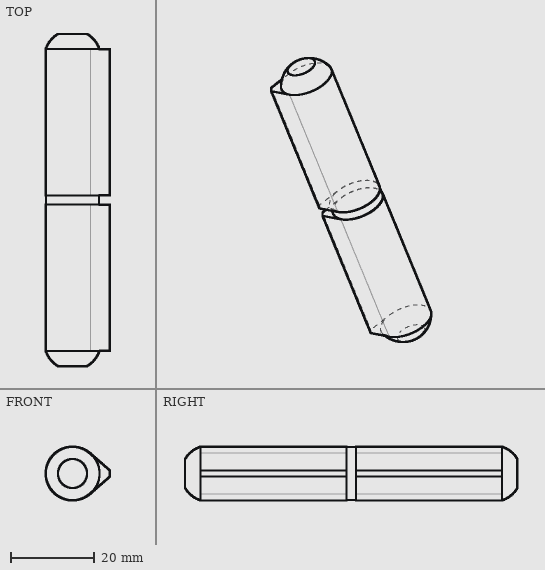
import cadquery as cq
import math


total_length = 80.0
barrel_diameter = 13.0
washer_diameter = 12.8
washer_thickness = 2.2
cap_height = 3.7
cap_flat_diameter = 7.0
nose_reach = 9.0
nose_tip_width = 1.5

barrel_radius = barrel_diameter / 2
cap_flat_radius = cap_flat_diameter / 2
leaf_length = (total_length - washer_thickness) / 2 - cap_height
leaf_start = washer_thickness / 2
leaf_end = leaf_start + leaf_length


def leaf_section():
    """Barrel circle joined to the flat nose tip by two lines tangent to the barrel."""
    half_tip = nose_tip_width / 2
    tip_distance = math.hypot(nose_reach, half_tip)
    tip_angle = math.atan2(half_tip, nose_reach)
    tangent_angle = tip_angle + math.acos(barrel_radius / tip_distance)
    tangent_x = barrel_radius * math.cos(tangent_angle)
    tangent_z = barrel_radius * math.sin(tangent_angle)
    return (
        cq.Workplane("XZ")
        .moveTo(nose_reach, -half_tip)
        .lineTo(nose_reach, half_tip)
        .lineTo(tangent_x, tangent_z)
        .threePointArc((-barrel_radius, 0), (tangent_x, -tangent_z))
        .close()
    )


def make_leaf():
    """Leaf on the -Y side of the washer."""
    return leaf_section().extrude(leaf_length).translate((0, -leaf_start, 0))


def make_washer():
    return cq.Workplane("XZ").circle(washer_diameter / 2).extrude(washer_thickness / 2, both=True)


def make_cap():
    """Spherical zone on the -Y end, running from the barrel rim to the flat end face."""
    centre_depth = (barrel_radius**2 - cap_flat_radius**2 - cap_height**2) / (2 * cap_height)
    sphere_radius = math.hypot(barrel_radius, centre_depth)
    middle_height = cap_height / 2
    middle_radius = math.sqrt(sphere_radius**2 - (centre_depth + middle_height) ** 2)
    return (
        cq.Workplane("XY")
        .moveTo(0, -leaf_end)
        .lineTo(barrel_radius, -leaf_end)
        .threePointArc(
            (middle_radius, -leaf_end - middle_height),
            (cap_flat_radius, -leaf_end - cap_height),
        )
        .lineTo(0, -leaf_end - cap_height)
        .close()
        .revolve(360, (0, 0, 0), (0, 1, 0))
    )


hinge_half = make_leaf().union(make_cap())
result = make_washer().union(hinge_half).union(hinge_half.mirror("XZ"))